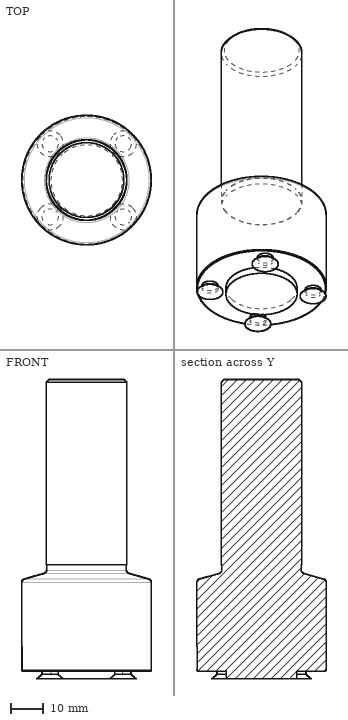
import cadquery as cq
import math

total_height = 92.4
body_bottom = 2.3
body_rim = 30.6
shank_bottom = 35.2

body_radius = 40.0 / 2
neck_radius = 24.7 / 2
shank_radius = 24.95 / 2
pilot_radius = 22.0 / 2

shoulder_angle = 16.0
shoulder_fillet = 1.0
shank_chamfer = 0.9
body_chamfer = 0.3

pin_offset = 11.3
pin_neck_radius = 5.0 / 2
pin_tip_radius = 8.0 / 2
pin_cone_height = 1.4

shoulder_rise = (body_radius - neck_radius) * math.tan(math.radians(shoulder_angle))
neck_bottom = body_rim + shoulder_rise


def make_turned_body():
    """Body, sloped shoulder, neck and shank revolved about Z."""
    profile = (
        cq.Workplane("XZ")
        .moveTo(0, body_bottom)
        .lineTo(body_radius - body_chamfer, body_bottom)
        .lineTo(body_radius, body_bottom + body_chamfer)
        .lineTo(body_radius, body_rim)
        .lineTo(neck_radius, neck_bottom)
        .lineTo(neck_radius, shank_bottom)
        .lineTo(shank_radius, shank_bottom)
        .lineTo(shank_radius, total_height - shank_chamfer)
        .lineTo(shank_radius - shank_chamfer, total_height)
        .lineTo(0, total_height)
        .close()
    )
    turned = profile.revolve(360, (0, 0, 0), (0, 1, 0))
    shoulder = turned.faces("%CONE").faces(
        cq.selectors.BoxSelector(
            (-body_radius, -body_radius, body_rim),
            (body_radius, body_radius, neck_bottom),
        )
    )
    return shoulder.edges("%CIRCLE").fillet(shoulder_fillet)


def make_pilot():
    """Shallow round boss centred under the body."""
    return cq.Workplane("XY").circle(pilot_radius).extrude(body_bottom)


def make_pin(x, y):
    """Pin with a straight neck that flares to a wide flat tip."""
    profile = (
        cq.Workplane("XZ")
        .lineTo(pin_tip_radius, 0)
        .lineTo(pin_neck_radius, pin_cone_height)
        .lineTo(pin_neck_radius, body_bottom)
        .lineTo(0, body_bottom)
        .close()
    )
    return profile.revolve(360, (0, 0, 0), (0, 1, 0)).translate((x, y, 0))


result = make_turned_body().union(make_pilot())
for x in (-pin_offset, pin_offset):
    for y in (-pin_offset, pin_offset):
        result = result.union(make_pin(x, y))